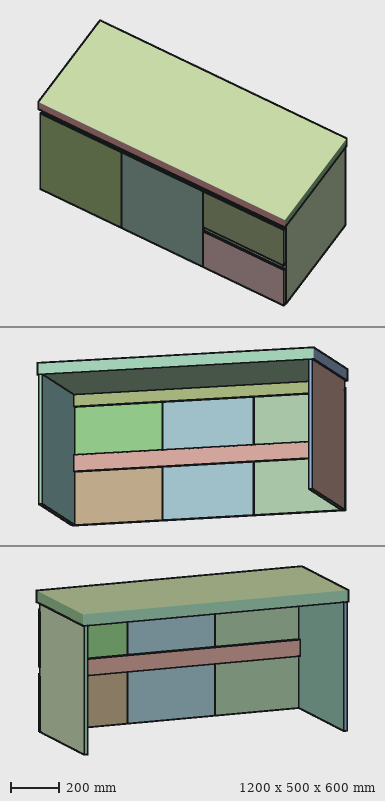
import cadquery as cq

top_length = 1200.0
overall_depth = 500.0
overall_height = 600.0

top_thickness = 50.0
top_edge_radius = 1.0

cabinet_width = 1188.0
cabinet_depth = 480.0
panel_thickness = 16.0
rail_lap = 20.0

front_width = 393.0
front_thickness = 15.0
door_gap = 3.0
drawer_gap = 2.0
end_gap = 1.5
finger_gap = 30.0
bevel_size = 12.0

cabinet_height = overall_height - top_thickness
cabinet_front = -cabinet_depth
first_door_x = -cabinet_width / 2 + end_gap
second_door_x = first_door_x + front_width + door_gap
drawer_x = second_door_x + front_width + drawer_gap
door_height = cabinet_height - finger_gap
drawer_height = (door_height - finger_gap) / 2
upper_drawer_z = drawer_height + finger_gap


def box(x, y, z, length, depth, height):
    """Block from its lowest corner (x, y, z)."""
    return cq.Workplane("XY").box(length, depth, height, centered=False).translate((x, y, z))


def make_countertop():
    """Slab with rounded upright corners and a rounded upper rim."""
    slab = box(-top_length / 2, -overall_depth, cabinet_height, top_length, overall_depth, top_thickness)
    return slab.edges("|Z or >Z").fillet(top_edge_radius)


def make_side_panel(x):
    """Upright cabinet side whose lower X face is at x."""
    return box(x, cabinet_front, 0, panel_thickness, cabinet_depth, cabinet_height)


def make_rail(bottom, top):
    """Rail between the side panels, flush with their front edges."""
    length = cabinet_width - 2 * panel_thickness
    return box(-length / 2, cabinet_front, bottom, length, panel_thickness, top - bottom)


def make_front(x, bottom, height):
    """Door or drawer front with a finger bevel falling toward the back at its top edge."""
    outer_face = cabinet_front - front_thickness
    top = bottom + height
    profile = [
        (outer_face, bottom),
        (cabinet_front, bottom),
        (cabinet_front, top - bevel_size),
        (cabinet_front - bevel_size, top),
        (outer_face, top),
    ]
    return cq.Workplane("YZ", origin=(x, 0, 0)).polyline(profile).close().extrude(front_width)


countertop = make_countertop()

half_width = cabinet_width / 2
side_panels = [make_side_panel(x) for x in (-half_width, half_width - panel_thickness)]

top_rail = make_rail(door_height - rail_lap, cabinet_height)
middle_rail = make_rail(drawer_height - rail_lap, upper_drawer_z + rail_lap)

doors = [make_front(x, 0, door_height) for x in (first_door_x, second_door_x)]
drawer_fronts = [make_front(drawer_x, bottom, drawer_height) for bottom in (0, upper_drawer_z)]

bodies = [countertop, *side_panels, top_rail, middle_rail, *doors, *drawer_fronts]
result = cq.Compound.makeCompound([body.val() for body in bodies])